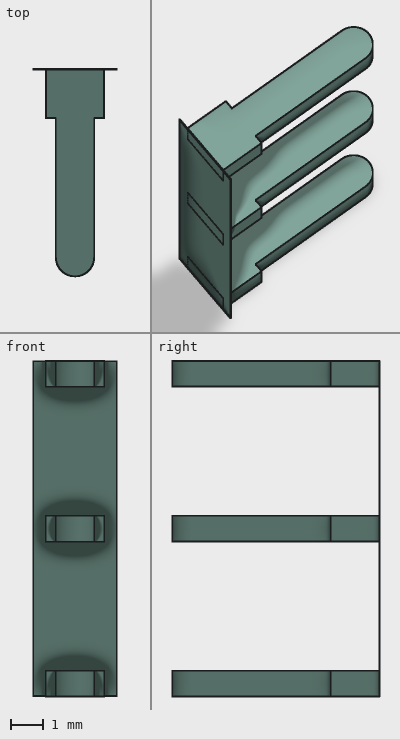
import cadquery as cq

film_width = 2.54
film_height = 10.16
film_thickness = 0.0254

overall_depth = 6.3
pin_count = 3
pin_pitch = 4.7
pin_thickness = 0.787
pin_length = overall_depth - film_thickness
shoulder_width = 1.77
shoulder_length = 1.47
blade_width = 1.17
tip_radius = blade_width / 2


def make_film():
    """Sheet with its front face on Y = 0, centred on X and Z."""
    return cq.Workplane("XY").box(film_width, film_thickness, film_height, centered=(True, False, True))


def make_pin(z_centre):
    """Flat pin reaching from the film toward -Y, its thickness along Z."""
    half_shoulder = shoulder_width / 2
    half_blade = blade_width / 2
    tip_start = -(pin_length - tip_radius)
    return (
        cq.Workplane("XY")
        .workplane(offset=z_centre - pin_thickness / 2)
        .moveTo(-half_shoulder, 0)
        .lineTo(-half_shoulder, -shoulder_length)
        .lineTo(-half_blade, -shoulder_length)
        .lineTo(-half_blade, tip_start)
        .threePointArc((0, -pin_length), (half_blade, tip_start))
        .lineTo(half_blade, -shoulder_length)
        .lineTo(half_shoulder, -shoulder_length)
        .lineTo(half_shoulder, 0)
        .close()
        .extrude(pin_thickness)
    )


result = make_film()
for index in range(pin_count):
    pin_z = (index - (pin_count - 1) / 2) * pin_pitch
    result = result.union(make_pin(pin_z))